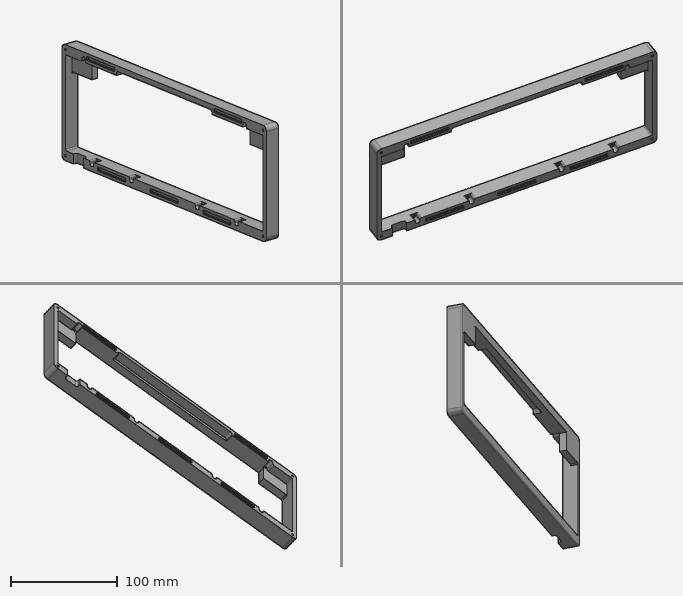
import cadquery as cq
import math


key_unit = 19.05
key_columns = 15
key_rows = 5
grid_clearance = 0.25
side_wall = 5.0
rail_height = 10.0
depth = 15.5

opening_width = key_columns * key_unit + 2 * grid_clearance
opening_height = key_rows * key_unit + 2 * grid_clearance
outer_width = opening_width + 2 * side_wall
outer_height = opening_height + 2 * rail_height
corner_radius = 5.0
opening_radius = 1.25
back_fillet = 1.0

front_y = -depth / 2
back_y = depth / 2
half_opening_width = opening_width / 2
half_opening_height = opening_height / 2
overcut = 1.0

seat_depth = 8.25
seat_y = front_y + seat_depth
block_width = 1.5 * key_unit
block_height = key_unit
block_blend_radius = 1.25

screw_diameter = 2.08
screw_hole_depth = 6.0
corner_screw_x = outer_width / 2 - corner_radius
corner_screw_z = outer_height / 2 - corner_radius

pocket_radius = 2.5
pocket_inset = 2.625
pocket_mouth_radius = 1.5
mouth_arc_offset = pocket_mouth_radius * math.sin(math.radians(45))
pocket_z = half_opening_height + pocket_inset
bottom_pocket_xs = [-5.5 * key_unit, -2.5 * key_unit, 2.5 * key_unit, 5.5 * key_unit]
top_pocket_x = 116.5

relief_width = 138.4
relief_height = 4.3
relief_radius = 2.5

slot_length = 39.5
slot_height = 3.0
slot_radius = 1.0
slot_depth = 2.0
slot_chamfer = 0.5
slot_z = corner_screw_z
bottom_slot_xs = [-4 * key_unit, 0, 4 * key_unit]
top_slot_x = 92.2

notch_x = -124.0
notch_width = 15.0
notch_depth = 4.0
notch_radius = 2.0


def box(x_min, x_max, y_min, y_max, z_min, z_max):
    """Box given by its limits along each axis."""
    size = (x_max - x_min, y_max - y_min, z_max - z_min)
    return cq.Workplane("XY").box(*size, centered=False).translate((x_min, y_min, z_min))


def screw_hole(x, z, face_y):
    """Blind hole going back from a face at face_y."""
    plane = cq.Workplane("XZ", origin=(x, face_y, z))
    return plane.circle(screw_diameter / 2).extrude(-screw_hole_depth)


def make_body():
    """Rounded plate, with its back edge rounded."""
    plate = box(
        -outer_width / 2, outer_width / 2, front_y, back_y, -outer_height / 2, outer_height / 2
    )
    return plate.edges("|Y").fillet(corner_radius).faces(">Y").edges().fillet(back_fillet)


def make_opening():
    """Through opening with rounded corners."""
    return box(
        -half_opening_width,
        half_opening_width,
        front_y - overcut,
        back_y + overcut,
        -half_opening_height,
        half_opening_height,
    ).edges("|Y").fillet(opening_radius)


def make_block(side):
    """Block filling an upper corner of the opening behind the seat; side is -1 or 1.

    A small fillet blends its underside into the side wall.
    """
    inner_x = half_opening_width - block_width
    wall_x = half_opening_width
    low_z = half_opening_height - block_height
    top_z = half_opening_height + overcut
    blend_z = low_z - block_blend_radius
    hidden_x = wall_x + overcut
    return (
        cq.Workplane("XZ", origin=(0, seat_y, 0))
        .moveTo(side * inner_x, low_z)
        .lineTo(side * (wall_x - block_blend_radius), low_z)
        .radiusArc((side * wall_x, blend_z), -side * block_blend_radius)
        .lineTo(side * hidden_x, blend_z)
        .lineTo(side * hidden_x, top_z)
        .lineTo(side * inner_x, top_z)
        .close()
        .extrude(seat_y - back_y)
    )


def make_pocket(x, rail, flared_sides):
    """Round-ended pocket open to the frame opening, with a rounded mouth on the flared sides.

    rail is 1 for the top rail and -1 for the bottom rail.
    """
    mouth_z = rail * half_opening_height
    end_z = rail * pocket_z
    cut_z = mouth_z - rail * overcut
    plane = cq.Workplane("XZ", origin=(x, front_y, 0))
    pocket = (
        plane.moveTo(-pocket_radius, cut_z)
        .lineTo(-pocket_radius, end_z)
        .threePointArc((0, end_z + rail * pocket_radius), (pocket_radius, end_z))
        .lineTo(pocket_radius, cut_z)
        .close()
        .extrude(-seat_depth)
    )
    for side in flared_sides:
        wall_x = side * pocket_radius
        flare_x = wall_x + side * pocket_mouth_radius
        flare_z = mouth_z + rail * pocket_mouth_radius
        arc_x = flare_x - side * mouth_arc_offset
        arc_z = flare_z - rail * mouth_arc_offset
        flare = (
            plane.moveTo(wall_x, mouth_z)
            .lineTo(wall_x, flare_z)
            .threePointArc((arc_x, arc_z), (flare_x, mouth_z))
            .close()
            .extrude(-seat_depth)
        )
        pocket = pocket.union(flare)
    return pocket.union(screw_hole(x, end_z, seat_y))


def make_relief():
    """Relief, as deep as the seat, along the middle of the top rail."""
    return box(
        -relief_width / 2,
        relief_width / 2,
        front_y,
        seat_y,
        half_opening_height - overcut,
        half_opening_height + relief_height,
    ).edges("|Y and >Z").fillet(relief_radius)


def make_slot(x, z):
    """Blind slot with rounded corners and a chamfered rim."""
    sketch = (
        cq.Sketch()
        .rect(slot_length + 2 * slot_chamfer, slot_height + 2 * slot_chamfer)
        .vertices()
        .fillet(slot_radius + slot_chamfer)
    )
    plane = cq.Workplane("XZ", origin=(x, front_y, z))
    rim = plane.placeSketch(sketch).extrude(-slot_chamfer, taper=45)
    slot = plane.rect(slot_length, slot_height).extrude(-slot_depth)
    return slot.edges("|Y").fillet(slot_radius).union(rim)


def make_notch():
    """Notch over the full height of the bottom rail, with rounded inner corners."""
    return box(
        notch_x - notch_width / 2,
        notch_x + notch_width / 2,
        front_y,
        front_y + notch_depth,
        -outer_height / 2,
        -half_opening_height,
    ).edges("|Z and >Y").fillet(notch_radius)


result = make_body().cut(make_opening())
for side in (-1, 1):
    result = result.union(make_block(side))
    result = result.cut(make_pocket(side * top_pocket_x, 1, [side]))
for x in bottom_pocket_xs:
    result = result.cut(make_pocket(x, -1, [-1, 1]))
result = result.cut(make_relief()).cut(make_notch())
for x in (-top_slot_x, top_slot_x):
    result = result.cut(make_slot(x, slot_z))
for x in bottom_slot_xs:
    result = result.cut(make_slot(x, -slot_z))
for x in (-corner_screw_x, corner_screw_x):
    for z in (-corner_screw_z, corner_screw_z):
        result = result.cut(screw_hole(x, z, front_y))